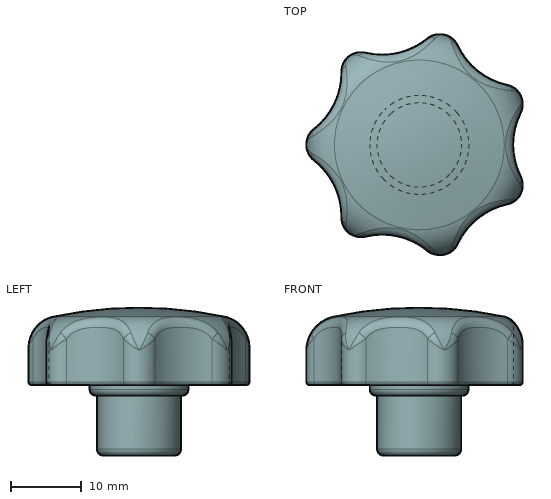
import cadquery as cq
import math

OVERALL_WIDTH = 31.35
OVERALL_HEIGHT = 21.0
LOBES = 7
LOBE_PITCH = 2 * math.pi / LOBES
PITCH_DEGREES = 360 / LOBES

LOBE_CENTRE_RADIUS = 13.2
VALLEY_BOTTOM_RADIUS = 13.35
WIDEST_LOBE_ANGLE = 1.5 * LOBE_PITCH
LOBE_RADIUS = OVERALL_WIDTH / 2 - LOBE_CENTRE_RADIUS * math.sin(WIDEST_LOBE_ANGLE)
LOBE_TIP_RADIUS = LOBE_CENTRE_RADIUS + LOBE_RADIUS
LOBE_INSET = 0.005
BLANK_RADIUS = LOBE_TIP_RADIUS + LOBE_INSET

HEAD_BOTTOM = 10.0
DOME_RADIUS = 57.98
SHOULDER_ROUND = 5.0
RIM_ROUND = 1.5
BOTTOM_ROUND = 0.5

COLLAR_RADIUS = 7.02
COLLAR_HEIGHT = 1.5
COLLAR_ROUND = 0.95

BUSHING_RADIUS = 6.0
BUSHING_ROUND = 1.0
BUSHING_HEIGHT = HEAD_BOTTOM - COLLAR_HEIGHT


def polar(radius, angle):
    return radius * math.cos(angle), radius * math.sin(angle)


def valley_radius():
    """Radius of the valley arc that touches the valley bottom and both neighbouring lobe arcs."""
    lobe_x, lobe_y = polar(LOBE_CENTRE_RADIUS, LOBE_PITCH / 2)
    gap = VALLEY_BOTTOM_RADIUS - lobe_x
    return (LOBE_RADIUS**2 - gap**2 - lobe_y**2) / (2 * (gap - LOBE_RADIUS))


def star_prism():
    """Upright prism with seven lobe arcs joined by seven tangent valley arcs."""
    valley = valley_radius()
    lobe_x, lobe_y = polar(LOBE_CENTRE_RADIUS, LOBE_PITCH / 2)
    valley_centre = VALLEY_BOTTOM_RADIUS + valley
    share = LOBE_RADIUS / (LOBE_RADIUS + valley)
    joint_x = lobe_x + share * (valley_centre - lobe_x)
    joint_y = lobe_y - share * lobe_y
    joint_radius = math.hypot(joint_x, joint_y)
    joint_angle = math.atan2(joint_y, joint_x)

    outline = cq.Workplane("XY", origin=(0, 0, HEAD_BOTTOM)).moveTo(*polar(joint_radius, -joint_angle))
    for index in range(LOBES):
        turn = index * LOBE_PITCH
        valley_end = polar(joint_radius, turn + joint_angle)
        outline = outline.threePointArc(polar(VALLEY_BOTTOM_RADIUS, turn), valley_end)
        lobe_end = polar(joint_radius, turn + LOBE_PITCH - joint_angle)
        outline = outline.threePointArc(polar(LOBE_TIP_RADIUS, turn + LOBE_PITCH / 2), lobe_end)
    return outline.close().extrude(OVERALL_HEIGHT - HEAD_BOTTOM)


def rounded_disc(radius, bottom, height, rounding):
    """Upright round disc with its lower edge rounded."""
    disc = cq.Workplane("XY", origin=(0, 0, bottom)).circle(radius).extrude(height)
    return disc.faces("<Z").edges().fillet(rounding)


def dome_slope():
    """Angle from the knob axis at which the dome meets the shoulder, seen from the dome centre."""
    return math.asin((BLANK_RADIUS - SHOULDER_ROUND) / (DOME_RADIUS - SHOULDER_ROUND))


def on_dome(slope):
    """Profile point on the dome arc at an angle from the knob axis."""
    return DOME_RADIUS * math.sin(slope), OVERALL_HEIGHT - DOME_RADIUS * (1 - math.cos(slope))


def core_radius():
    return on_dome(dome_slope())[0]


def core():
    """Round middle of the head under the dome, with the collar below it."""
    edge = on_dome(dome_slope())
    middle = (
        cq.Workplane("XZ")
        .moveTo(0, HEAD_BOTTOM)
        .lineTo(edge[0], HEAD_BOTTOM)
        .lineTo(*edge)
        .threePointArc(on_dome(dome_slope() / 2), (0, OVERALL_HEIGHT))
        .close()
        .revolve(360, (0, 0), (0, 1))
    )
    return middle.union(rounded_disc(COLLAR_RADIUS, BUSHING_HEIGHT, COLLAR_HEIGHT, COLLAR_ROUND))


def ring_sector():
    """One pitch, centred on +X, of the ring around the core; its shoulder is tangent to dome and side."""
    slope = dome_slope()
    edge = on_dome(slope)
    shoulder_x = BLANK_RADIUS - SHOULDER_ROUND
    shoulder_z = edge[1] - SHOULDER_ROUND * math.cos(slope)
    middle_slope = (slope + math.pi / 2) / 2
    shoulder_middle = (
        shoulder_x + SHOULDER_ROUND * math.sin(middle_slope),
        shoulder_z + SHOULDER_ROUND * math.cos(middle_slope),
    )
    return (
        cq.Workplane("XZ")
        .moveTo(edge[0], HEAD_BOTTOM)
        .lineTo(BLANK_RADIUS, HEAD_BOTTOM)
        .lineTo(BLANK_RADIUS, shoulder_z)
        .threePointArc(shoulder_middle, edge)
        .close()
        .revolve(PITCH_DEGREES, (0, 0), (0, 1))
        .rotate((0, 0, 0), (0, 0, 1), -PITCH_DEGREES / 2)
    )


def valley_sector():
    """Ring sector with one valley and half a lobe on either side, rounded along its upper rim."""
    sector = ring_sector().intersect(star_prism())
    rim = [edge for edge in sector.edges().vals() if edge.geomType() not in ("LINE", "CIRCLE")]
    return sector.newObject(rim).fillet(RIM_ROUND)


def star_ring():
    """Seven valley sectors joined into a ring, rounded along the lower outline."""
    sector = valley_sector()
    ring = sector
    for index in range(1, LOBES):
        ring = ring.union(sector.rotate((0, 0, 0), (0, 0, 1), index * PITCH_DEGREES))
    lower_edges = ring.faces("<Z").edges().vals()
    outline = [edge for edge in lower_edges if edge.radius() < (valley_radius() + core_radius()) / 2]
    return ring.newObject(outline).fillet(BOTTOM_ROUND)


def make_head():
    """Seven-lobed head with its collar."""
    return star_ring().union(core())


def make_bushing():
    """Plain round bushing that stands under the collar."""
    return rounded_disc(BUSHING_RADIUS, 0, BUSHING_HEIGHT, BUSHING_ROUND)


head = make_head()
bushing = make_bushing()

result = cq.Compound.makeCompound([head.val(), bushing.val()])